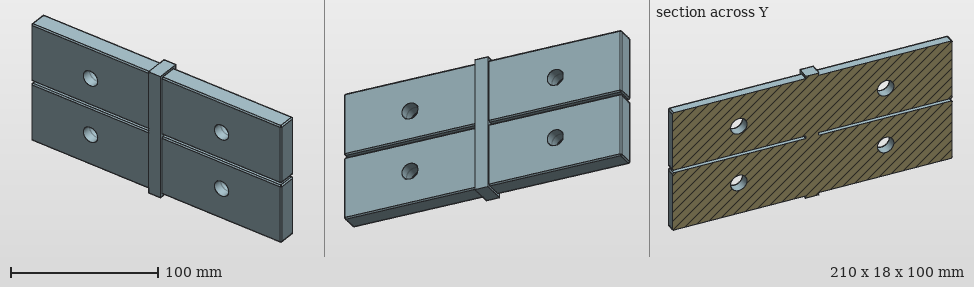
import cadquery as cq

bar_length = 210.0
bar_thickness = 14.4
bar_height = 47.3
bar_gap = 1.8
edge_chamfer = 1.0

band_width = 10.0
band_wall = 1.8

hole_diameter = 12.0
hole_spacing_x = 110.0
hole_spacing_z = 46.4

bar_center_z = (bar_height + bar_gap) / 2
band_thickness = bar_thickness + 2 * band_wall
band_height = 2 * bar_height + bar_gap + 2 * band_wall


def make_bar(center_z):
    """Flat bar with every outer edge chamfered."""
    bar = cq.Workplane("XY").box(bar_length, bar_thickness, bar_height)
    return bar.edges().chamfer(edge_chamfer).translate((0, 0, center_z))


def make_band():
    """Solid block across the middle that joins the two bars."""
    return cq.Workplane("XY").box(band_width, band_thickness, band_height)


def make_holes():
    """Four cylinders along Y that pass through the bars."""
    return (
        cq.Workplane("XZ")
        .rarray(hole_spacing_x, hole_spacing_z, 2, 2)
        .circle(hole_diameter / 2)
        .extrude(bar_thickness, both=True)
    )


result = make_band()
for side in (-1, 1):
    result = result.union(make_bar(side * bar_center_z))
result = result.cut(make_holes())